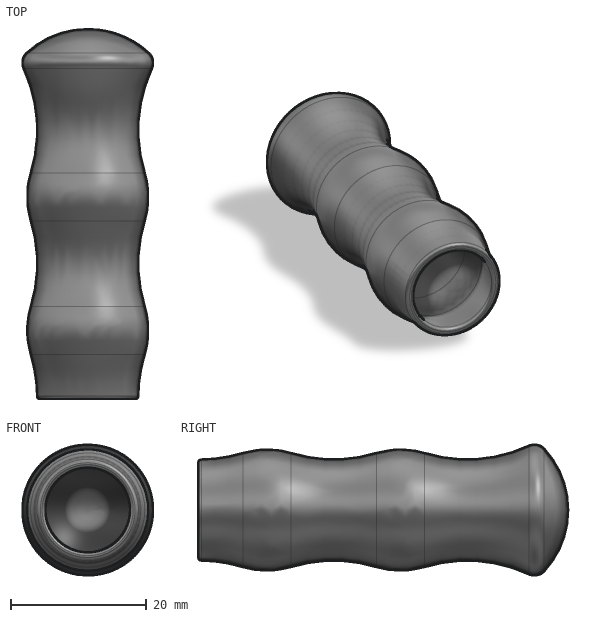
import cadquery as cq
import math

length = 54.8
neck_radius = 7.5
bulge_radius = 9.0
head_radius = 9.7
collar_length = 0.3
wave_pitch = 19.8
wave_count = 2
neck_arc_radius = 21.65
head_round_radius = 2.0
wall_thickness = 1.25
rim_fillet = 0.5

half_pitch = wave_pitch / 2
wave_height = bulge_radius - neck_radius
arc_center_distance = (half_pitch**2 + wave_height**2) / (2 * wave_height)
bulge_arc_radius = arc_center_distance - neck_arc_radius
neck_center_x = neck_radius + neck_arc_radius
bulge_center_x = bulge_radius - bulge_arc_radius

last_neck_y = collar_length + wave_count * wave_pitch
round_center_x = head_radius - head_round_radius
round_reach = neck_arc_radius + head_round_radius
round_center_y = last_neck_y + math.sqrt(round_reach**2 - (neck_center_x - round_center_x) ** 2)
round_center = (round_center_x, round_center_y)

tip_gap = length - round_center_y
dome_radius = (round_center_x**2 + tip_gap**2 - head_round_radius**2) / (2 * (tip_gap - head_round_radius))
dome_center = (0, length - dome_radius)


def point_towards(start, target, distance):
    """Point at a distance from start along the line through target."""
    ratio = distance / math.dist(start, target)
    return tuple(a + ratio * (b - a) for a, b in zip(start, target))


def add_wave(profile, start_y, inset):
    """Add one neck-to-neck wave made of three tangent arcs."""
    middle_y = start_y + half_pitch
    end_y = start_y + wave_pitch
    neck_arc = neck_arc_radius + inset
    bulge_center = (bulge_center_x, middle_y)
    bulge_start = point_towards((neck_center_x, start_y), bulge_center, neck_arc)
    bulge_end = point_towards((neck_center_x, end_y), bulge_center, neck_arc)
    return (
        profile.radiusArc(bulge_start, neck_arc)
        .threePointArc((bulge_radius - inset, middle_y), bulge_end)
        .radiusArc((neck_radius - inset, end_y), neck_arc)
    )


def add_head(profile, inset):
    """Add the flared neck, the rounded edge and the end dome, all tangent."""
    neck_arc = neck_arc_radius + inset
    dome_arc = dome_radius - inset
    round_start = point_towards((neck_center_x, last_neck_y), round_center, neck_arc)
    dome_start = point_towards(dome_center, round_center, dome_arc)
    return (
        profile.radiusArc(round_start, neck_arc)
        .threePointArc((head_radius - inset, round_center_y), dome_start)
        .radiusArc((0, length - inset), -dome_arc)
    )


def make_grip_solid(inset):
    """Solid grip with its whole surface, except the open end, moved inward by inset."""
    start_radius = neck_radius - inset
    profile = cq.Workplane("XY").lineTo(start_radius, 0).lineTo(start_radius, collar_length)
    for index in range(wave_count):
        profile = add_wave(profile, collar_length + index * wave_pitch, inset)
    profile = add_head(profile, inset)
    return profile.close().revolve(360, (0, 0, 0), (0, 1, 0))


shell = make_grip_solid(0).cut(make_grip_solid(wall_thickness))

result = shell.faces("<Y").edges().fillet(rim_fillet)